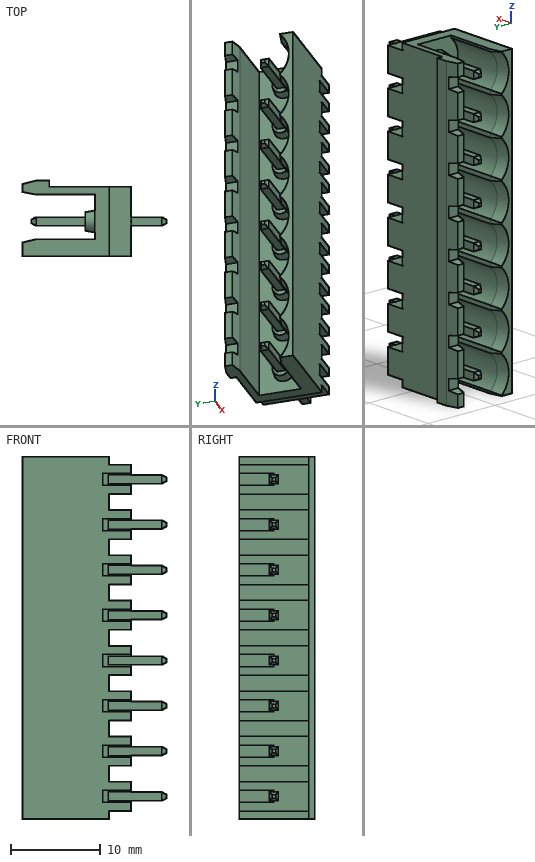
import cadquery as cq

PIN_COUNT = 8
PITCH = 5.08
LENGTH = PIN_COUNT * PITCH
OVERCUT = 1.0

TOTAL_HEIGHT = 8.5
HOUSING_HEIGHT = 7.8
CAVITY_FLOOR_X = 8.15
WALL_BACK_X = 9.75
PAD_BACK_X = 12.2
FRONT_WALL = 1.92
FRONT_WALL_TIP = 1.55
LATCH_WALL = 0.9
LEAD_IN_DEPTH = 1.55

LATCH_INNER_Y = HOUSING_HEIGHT - LATCH_WALL
LATCH_SHOULDER_X = 3.05
LATCH_TIP_INNER_Y = 7.2
LATCH_TIP_OUTER_Y = 8.1
NOTCH_DEPTH = 1.2
NOTCH_FLOOR_WIDTH = 1.4
NOTCH_MOUTH_WIDTH = 1.84

PIN_Y = 3.9
BORE_RADIUS = 3.0
BORE_MOUTH_RADIUS = 3.4

PAD_WIDTH = 3.3
SLOT_WIDTH = 1.35
SLOT_START_X = 9.05

PIN_SIZE = 1.0
PIN_TIP_SIZE = 0.4
PIN_TAPER = 0.55
MATING_TIP_X = 1.0
SOLDER_TIP_X = 16.2
SOLDER_START_X = 9.65
COLLAR_START_X = 7.05
COLLAR_TIP_RADIUS = 1.05
COLLAR_BASE_RADIUS = 1.25

PIN_HEIGHTS = [(i + 0.5) * PITCH for i in range(PIN_COUNT)]


def box(x0, x1, y0, y1, z0, z1):
    """Box spanning the given limits."""
    return cq.Workplane("XY").box(x1 - x0, y1 - y0, z1 - z0, centered=False).translate((x0, y0, z0))


def section_at(x, z):
    """Workplane facing +X, centred on the axis of the pin at height z."""
    return cq.Workplane("YZ", origin=(x, PIN_Y, z))


def cone(x0, x1, r0, r1, z):
    """Truncated cone (or cylinder) along X on the pin axis."""
    profile = [(x0, 0), (x0, r0), (x1, r1), (x1, 0)]
    solid = cq.Workplane("XY").polyline(profile).close().revolve(360, (0, 0, 0), (1, 0, 0))
    return solid.translate((0, PIN_Y, z))


def square_bar(x0, x1, size0, size1, z):
    """Square bar along X on the pin axis, tapering from size0 to size1."""
    return section_at(x0, z).rect(size0, size0).workplane(offset=x1 - x0).rect(size1, size1).loft(ruled=True)


def channel():
    """U-shaped housing with the latch rail, open towards -X."""
    outline = [
        (0, 0),
        (WALL_BACK_X, 0),
        (WALL_BACK_X, HOUSING_HEIGHT),
        (LATCH_SHOULDER_X, HOUSING_HEIGHT),
        (LATCH_SHOULDER_X, TOTAL_HEIGHT),
        (LEAD_IN_DEPTH, TOTAL_HEIGHT),
        (0, LATCH_TIP_OUTER_Y),
        (0, LATCH_TIP_INNER_Y),
        (LEAD_IN_DEPTH, LATCH_INNER_Y),
        (CAVITY_FLOOR_X, LATCH_INNER_Y),
        (CAVITY_FLOOR_X, FRONT_WALL),
        (LEAD_IN_DEPTH, FRONT_WALL),
        (0, FRONT_WALL_TIP),
    ]
    return cq.Workplane("XY").polyline(outline).close().extrude(LENGTH)


def latch_notch(z):
    """Notch with sloping sides that interrupts the latch rail next to a pin."""
    mouth = NOTCH_MOUTH_WIDTH / 2
    floor = NOTCH_FLOOR_WIDTH / 2
    outline = [(0, z - mouth), (NOTCH_DEPTH, z - floor), (NOTCH_DEPTH, z + floor), (0, z + mouth)]
    cutter_height = TOTAL_HEIGHT - PIN_Y
    cutter = cq.Workplane("XZ").polyline(outline).close().extrude(-cutter_height)
    return cutter.translate((0, PIN_Y, 0))


def scallop(z):
    """Round relief in the front wall with a conical lead-in."""
    bore = cone(0, CAVITY_FLOOR_X, BORE_RADIUS, BORE_RADIUS, z)
    lead_in = cone(0, LEAD_IN_DEPTH, BORE_MOUTH_RADIUS, BORE_RADIUS, z)
    lower_half = box(0, CAVITY_FLOOR_X, 0, PIN_Y, 0, LENGTH)
    return bore.union(lead_in).intersect(lower_half)


def pad(z):
    """Standoff pad behind a pin."""
    return box(WALL_BACK_X, PAD_BACK_X, 0, HOUSING_HEIGHT, z - PAD_WIDTH / 2, z + PAD_WIDTH / 2)


def pin_slot(z):
    """Slot from the -Y side down to the pin axis."""
    return box(SLOT_START_X, PAD_BACK_X + OVERCUT, -OVERCUT, PIN_Y, z - SLOT_WIDTH / 2, z + SLOT_WIDTH / 2)


def contact(z):
    """Mating pin with its collar, and solder pin, both with tapered tips."""
    mating_taper = square_bar(MATING_TIP_X, MATING_TIP_X + PIN_TAPER, PIN_TIP_SIZE, PIN_SIZE, z)
    mating_bar = square_bar(MATING_TIP_X + PIN_TAPER, SLOT_START_X, PIN_SIZE, PIN_SIZE, z)
    collar = cone(COLLAR_START_X, CAVITY_FLOOR_X, COLLAR_TIP_RADIUS, COLLAR_BASE_RADIUS, z)
    solder_bar = square_bar(SOLDER_START_X, SOLDER_TIP_X - PIN_TAPER, PIN_SIZE, PIN_SIZE, z)
    solder_taper = square_bar(SOLDER_TIP_X - PIN_TAPER, SOLDER_TIP_X, PIN_SIZE, PIN_TIP_SIZE, z)
    return mating_taper.union(mating_bar).union(collar).union(solder_bar).union(solder_taper)


result = channel()
for pin_z in PIN_HEIGHTS:
    result = result.union(pad(pin_z))
for pin_z in PIN_HEIGHTS:
    result = result.cut(latch_notch(pin_z))
    result = result.cut(scallop(pin_z))
    result = result.cut(pin_slot(pin_z))
for pin_z in PIN_HEIGHTS:
    result = result.union(contact(pin_z))